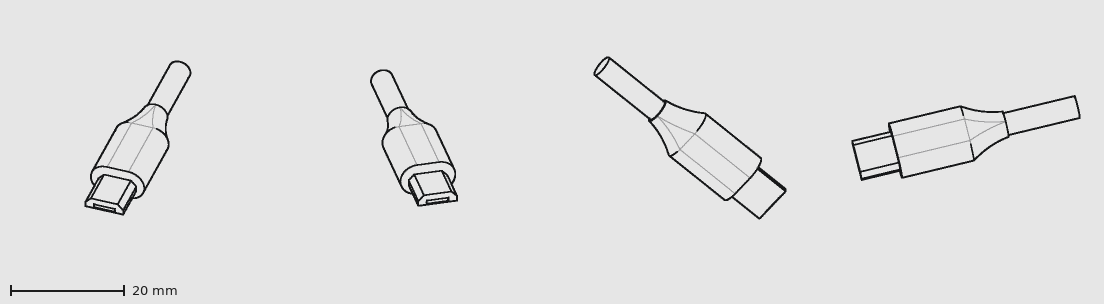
import cadquery as cq

plug_length = 7.0
body_length = 13.0
boot_length = 7.0
cable_length = 13.0

body_width = 10.0
body_height = 6.0
boot_mid_width = 6.4
boot_mid_height = 4.95
boot_end_diameter = 4.6
boot_end_flat = 0.01
cable_diameter = 4.0

plug_width = 7.05
plug_top_width = 5.0
plug_height = 2.1
plug_side_height = 1.0
plug_bottom = -0.95

slot_width = 4.0
slot_height = 0.65
slot_floor = 0.25
slot_depth = plug_length

body_start = plug_length
boot_start = body_start + body_length
boot_end = boot_start + boot_length


def plane_at(y):
    """Section plane facing -Y, with local x along X and local y along Z."""
    return cq.Plane(origin=(0, y, 0), xDir=(1, 0, 0), normal=(0, -1, 0))


def oblong(y, width, height):
    """Wire with flat top and bottom and semicircular sides."""
    radius = height / 2
    flat = width / 2 - radius
    return (
        cq.Workplane(plane_at(y))
        .moveTo(-flat, -radius)
        .lineTo(flat, -radius)
        .threePointArc((flat + radius, 0), (flat, radius))
        .lineTo(-flat, radius)
        .threePointArc((-flat - radius, 0), (-flat, -radius))
        .close()
    )


def make_plug():
    side = plug_width / 2
    top_side = plug_top_width / 2
    shoulder = plug_bottom + plug_side_height
    top = plug_bottom + plug_height
    outline = [
        (-side, plug_bottom),
        (side, plug_bottom),
        (side, shoulder),
        (top_side, top),
        (-top_side, top),
        (-side, shoulder),
    ]
    shell = cq.Workplane(plane_at(0)).polyline(outline).close().extrude(-plug_length)
    slot_center = plug_bottom + slot_floor + slot_height / 2
    slot = (
        cq.Workplane(plane_at(0))
        .center(0, slot_center)
        .rect(slot_width, slot_height)
        .extrude(-slot_depth)
    )
    return shell.cut(slot)


def make_boot():
    sections = [
        oblong(boot_start, body_width, body_height),
        oblong(boot_start + boot_length / 2, boot_mid_width, boot_mid_height),
        oblong(boot_end, boot_end_diameter + boot_end_flat, boot_end_diameter),
    ]
    wires = [section.val() for section in sections]
    return cq.Workplane(cq.Solid.makeLoft(wires))


body = oblong(body_start, body_width, body_height).extrude(-body_length)
cable = cq.Workplane(plane_at(boot_end)).circle(cable_diameter / 2).extrude(-cable_length)

result = make_plug().union(body).union(make_boot()).union(cable)